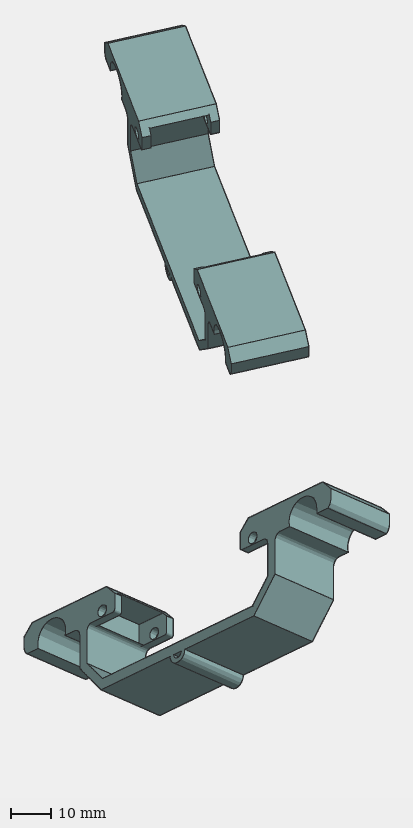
import cadquery as cq
import math

length = 110.0
depth = 20.0
height = 30.7
half_length = length / 2

pad_width = 32.6
pad_height = 8.0
pad_chamfer = 3.0
outer_corner_radius = 3.0
outer_corner_rise = 2.3
inner_corner_radius = 0.8

seat_radius = 5.0
seat_from_end = 10.0
seat_roof = 1.6

pin_radius = 1.5
pin_from_end = 28.0
pin_below_top = 6.2
pocket_cheek = 2.3
pocket_roof = 1.6

stem_from_end = 20.0
stem_thickness = 2.6
outer_bend_drop = 19.2
inner_bend_drop = 18.8
floor_outer_from_end = 27.6
floor_inner_from_end = 28.2
floor_thickness = 3.0
outer_root_radius = 2.0
inner_root_radius = 1.6

eyelet_radius = 2.6
eyelet_hole_radius = 1.3

pad_bottom = -pad_height
floor_bottom = eyelet_radius - height
floor_top = floor_bottom + floor_thickness
seat_center_z = -seat_roof - seat_radius

pad_outer_x = -half_length
pad_inner_x = pad_outer_x + pad_width
stem_outer_x = pad_outer_x + stem_from_end
stem_inner_x = stem_outer_x + stem_thickness
seat_x = pad_outer_x + seat_from_end
pin_x = pad_outer_x + pin_from_end


def extrude_depth(sketch):
    return sketch.extrude(depth / 2, both=True)


def cylinder_along_y(x, z, radius):
    return extrude_depth(cq.Workplane("XZ").center(x, z).circle(radius))


def fillet_edge(body, x, z, radius):
    """Round the Y-direction edge that passes through (x, z)."""
    edge = body.edges(cq.selectors.NearestToPointSelector((x, 0, z)))
    return edge.fillet(radius)


def outer_corner_run(rise):
    """Inward run of the outer corner arc at a given distance below its start."""
    return outer_corner_radius - math.sqrt(outer_corner_radius**2 - rise**2)


def make_pad():
    """Pad whose outer corner arc leaves the end face smoothly and meets the bottom at an edge."""
    arc_top = pad_bottom + outer_corner_rise
    half_rise = outer_corner_rise / 2
    pad = extrude_depth(
        cq.Workplane("XZ")
        .moveTo(pad_outer_x + outer_corner_run(outer_corner_rise), pad_bottom)
        .threePointArc(
            (pad_outer_x + outer_corner_run(half_rise), arc_top - half_rise),
            (pad_outer_x, arc_top),
        )
        .lineTo(pad_outer_x, -pad_chamfer)
        .lineTo(pad_outer_x + pad_chamfer, 0)
        .lineTo(pad_inner_x - pad_chamfer, 0)
        .lineTo(pad_inner_x, -pad_chamfer)
        .lineTo(pad_inner_x, pad_bottom)
        .close()
    )
    return fillet_edge(pad, pad_inner_x, pad_bottom, inner_corner_radius)


def make_half_strap():
    return extrude_depth(
        cq.Workplane("XZ")
        .moveTo(stem_outer_x, pad_bottom)
        .lineTo(stem_outer_x, -outer_bend_drop)
        .lineTo(pad_outer_x + floor_outer_from_end, floor_bottom)
        .lineTo(0, floor_bottom)
        .lineTo(0, floor_top)
        .lineTo(pad_outer_x + floor_inner_from_end, floor_top)
        .lineTo(stem_inner_x, -inner_bend_drop)
        .lineTo(stem_inner_x, pad_bottom)
        .close()
    )


def make_rod_seat():
    """Round seat whose outer side runs straight down out of the pad."""
    seat = cylinder_along_y(seat_x, seat_center_z, seat_radius)
    straight_side = cq.Workplane("XY").box(
        seat_radius, depth, seat_center_z - pad_bottom, centered=(False, True, False)
    ).translate((seat_x - seat_radius, 0, pad_bottom))
    return seat.union(straight_side)


def make_hinge_pocket():
    """Pocket reaching from the inner end of the pad back to the stem, open below."""
    pocket_length = pad_inner_x - stem_inner_x
    return cq.Workplane("XY").box(
        pocket_length, depth - 2 * pocket_cheek, pad_height - pocket_roof, centered=(False, True, False)
    ).translate((pad_inner_x - pocket_length, 0, pad_bottom))


def make_half_eyelet():
    """Left half of the eyelet, a quarter ring below the floor."""
    ring = cylinder_along_y(0, floor_bottom, eyelet_radius)
    ring = ring.cut(cylinder_along_y(0, floor_bottom, eyelet_hole_radius))
    quarter = cq.Workplane("XY").box(
        eyelet_radius, depth, eyelet_radius, centered=(False, True, False)
    ).translate((-eyelet_radius, 0, floor_bottom - eyelet_radius))
    return ring.intersect(quarter)


half = make_pad().union(make_half_strap())
half = fillet_edge(half, stem_outer_x, pad_bottom, outer_root_radius)
half = fillet_edge(half, stem_inner_x, pad_bottom, inner_root_radius)
half = half.cut(make_rod_seat())
half = half.cut(cylinder_along_y(pin_x, -pin_below_top, pin_radius))
half = half.cut(make_hinge_pocket())
half = half.union(make_half_eyelet())

result = half.union(half.mirror("YZ"))